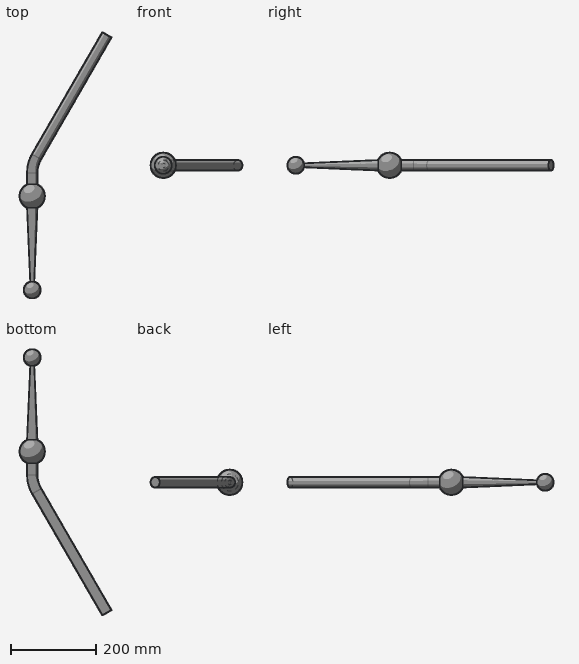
import cadquery as cq
import math

hub_radius = 30.0

bar_radius = 12.5
corner_distance = 75.0
arm_length = 350.0
bend_angle = math.radians(30.0)
bend_radius = 75.0

knob_radius = 20.0
knob_distance = 220.0
stem_root_radius = bar_radius
stem_tip_radius = 5.0


def along_arm(distance):
    """Point on the leaning centreline at a distance from the corner."""
    return (
        distance * math.sin(bend_angle),
        corner_distance + distance * math.cos(bend_angle),
    )


def make_bent_bar():
    """Round bar swept from the hub centre through the bend to the free end."""
    tangent_length = bend_radius * math.tan(bend_angle / 2)
    bend_start = (0, corner_distance - tangent_length)
    bend_middle = (
        bend_radius * (1 - math.cos(bend_angle / 2)),
        bend_start[1] + bend_radius * math.sin(bend_angle / 2),
    )
    centreline = (
        cq.Workplane("XY")
        .lineTo(*bend_start)
        .threePointArc(bend_middle, along_arm(tangent_length))
        .lineTo(*along_arm(arm_length))
    )
    return cq.Workplane("XZ").circle(bar_radius).sweep(centreline)


def make_stem():
    """Cone whose end circles lie on the two ball surfaces, run on into both balls."""
    root_distance = math.sqrt(hub_radius**2 - stem_root_radius**2)
    tip_distance = knob_distance - math.sqrt(knob_radius**2 - stem_tip_radius**2)
    slope = (stem_root_radius - stem_tip_radius) / (tip_distance - root_distance)
    radius_at_hub = stem_root_radius + slope * root_distance
    radius_at_knob = radius_at_hub - slope * knob_distance
    return cq.Workplane("XY").add(
        cq.Solid.makeCone(
            radius_at_hub, radius_at_knob, knob_distance, cq.Vector(0, 0, 0), cq.Vector(0, -1, 0)
        )
    )


hub = cq.Workplane("XY").sphere(hub_radius)
knob = cq.Workplane("XY").sphere(knob_radius).translate((0, -knob_distance, 0))

result = hub.union(make_bent_bar()).union(make_stem()).union(knob)